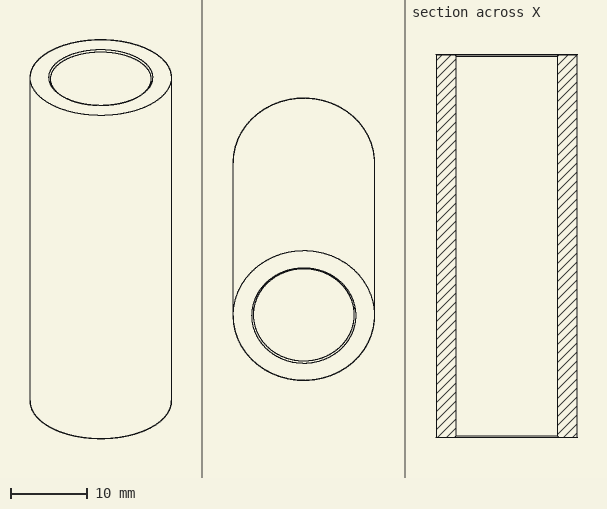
import cadquery as cq

length = 50.0
outer_diameter = 18.5
bore_diameter = 13.15
mouth_diameter = 13.6

bore_chamfer = (mouth_diameter - bore_diameter) / 2


def make_tube():
    """Hollow cylinder centred on the Z axis, with its base at Z = 0."""
    return (
        cq.Workplane("XY")
        .circle(outer_diameter / 2)
        .circle(bore_diameter / 2)
        .extrude(length)
    )


def chamfer_bore_ends(tube):
    """Break the bore edge at both ends of the tube."""
    smallest_circles = cq.selectors.RadiusNthSelector(0)
    return tube.faces("<Z or >Z").edges(smallest_circles).chamfer(bore_chamfer)


result = chamfer_bore_ends(make_tube())